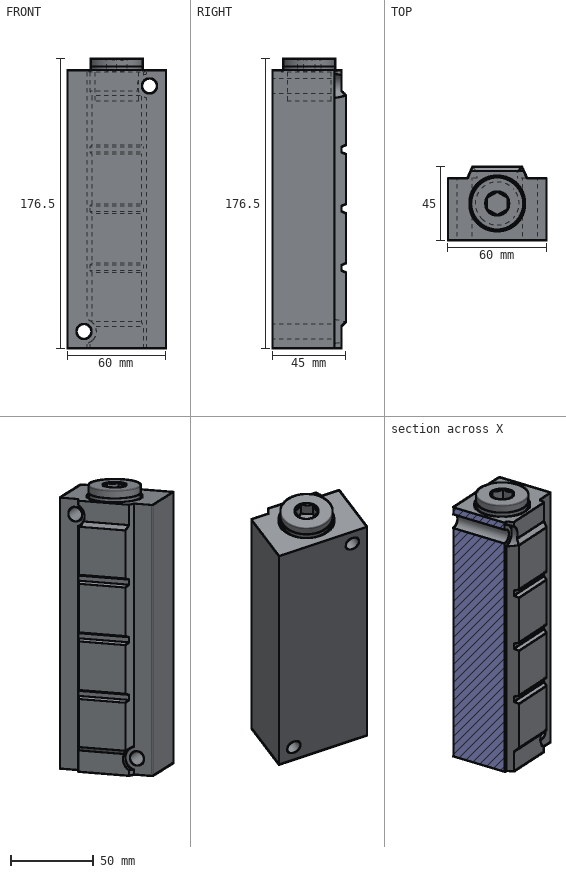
import cadquery as cq

TOTAL_HEIGHT = 176.5
BLOCK_WIDTH = 60.0
BLOCK_HEIGHT = 169.5
TOTAL_DEPTH = 45.0
RIDGE_HEIGHT = 7.0
FRONT_Y = -TOTAL_DEPTH / 2
RIDGE_TOP_Y = TOTAL_DEPTH / 2
BACK_Y = RIDGE_TOP_Y - RIDGE_HEIGHT
BACK_EDGE_RADIUS = 0.5

PATTERN_MIDDLE_Z = 85.1

RIDGE_BASE_WIDTH = 36.4
RIDGE_TOP_WIDTH = 30.0
RIDGE_CUT_DEPTH = 2.8
RIDGE_FLOOR_Y = RIDGE_TOP_Y - RIDGE_CUT_DEPTH
STEP_SPACING_Z = 143.4
NOTCH_COUNT = 3
NOTCH_PITCH = 36.0
NOTCH_OUTER_WIDTH = 5.6
NOTCH_FLOOR_WIDTH = 3.2

HOLE_DIAMETER = 9.0
COUNTERBORE_DIAMETER = 15.0
HOLE_X = 20.0
HOLE_SPACING_Z = 149.5

SPOTFACE_DIAMETER = 34.0
SPOTFACE_DEPTH = 1.0
SHANK_DIAMETER = 26.5
SHANK_LENGTH = 17.7
HEAD_DIAMETER = 32.0
COLLAR_DIAMETER = 31.8
COLLAR_TOP_Z = 171.6
HEAD_EDGE_RADIUS = 0.4
HEX_SIDES = 6
HEX_ACROSS_FLATS = 12.5
HEX_DEPTH = 8.0
SOCKET_MOUTH_DIAMETER = 14.7

SPOTFACE_Z = BLOCK_HEIGHT - SPOTFACE_DEPTH
SHANK_END_Z = SPOTFACE_Z - SHANK_LENGTH


def make_block():
    """Block with the tapered ridge, extruded along Z, its outer back edges rounded."""
    block = (
        cq.Workplane("XY")
        .moveTo(-BLOCK_WIDTH / 2, FRONT_Y)
        .lineTo(BLOCK_WIDTH / 2, FRONT_Y)
        .lineTo(BLOCK_WIDTH / 2, BACK_Y)
        .lineTo(RIDGE_BASE_WIDTH / 2, BACK_Y)
        .lineTo(RIDGE_TOP_WIDTH / 2, RIDGE_TOP_Y)
        .lineTo(-RIDGE_TOP_WIDTH / 2, RIDGE_TOP_Y)
        .lineTo(-RIDGE_BASE_WIDTH / 2, BACK_Y)
        .lineTo(-BLOCK_WIDTH / 2, BACK_Y)
        .close()
        .extrude(BLOCK_HEIGHT)
    )
    for side in (-1, 1):
        back_edge_middle = (side * BLOCK_WIDTH / 2, BACK_Y, BLOCK_HEIGHT / 2)
        block = block.edges(cq.NearestToPointSelector(back_edge_middle)).fillet(BACK_EDGE_RADIUS)
    return block


def ridge_cutter(floor_low, floor_high, low_run, high_run):
    """Trough across the ridge with a flat floor; each wall leans out by its own run along Z."""
    return (
        cq.Workplane("YZ")
        .polyline([
            (RIDGE_FLOOR_Y, floor_low),
            (RIDGE_FLOOR_Y, floor_high),
            (RIDGE_TOP_Y, floor_high + high_run),
            (RIDGE_TOP_Y, floor_low - low_run),
        ])
        .close()
        .extrude(BLOCK_WIDTH / 2, both=True)
    )


def cylinder_along_y(x, z, diameter, start_y, end_y):
    plane = cq.Plane(origin=(x, start_y, z), xDir=(1, 0, 0), normal=(0, 1, 0))
    return cq.Workplane(plane).circle(diameter / 2).extrude(end_y - start_y)


def cylinder_along_z(diameter, start_z, end_z):
    return cq.Workplane("XY", origin=(0, 0, start_z)).circle(diameter / 2).extrude(end_z - start_z)


def make_housing():
    body = make_block()

    low_step_end = PATTERN_MIDDLE_Z - STEP_SPACING_Z / 2
    high_step_start = PATTERN_MIDDLE_Z + STEP_SPACING_Z / 2
    body = body.cut(ridge_cutter(0, low_step_end, 0, RIDGE_CUT_DEPTH))
    body = body.cut(ridge_cutter(high_step_start, BLOCK_HEIGHT, RIDGE_CUT_DEPTH, 0))

    wall_run = (NOTCH_OUTER_WIDTH - NOTCH_FLOOR_WIDTH) / 2
    for index in range(NOTCH_COUNT):
        middle = PATTERN_MIDDLE_Z + (index - (NOTCH_COUNT - 1) / 2) * NOTCH_PITCH
        floor_low = middle - NOTCH_FLOOR_WIDTH / 2
        floor_high = middle + NOTCH_FLOOR_WIDTH / 2
        body = body.cut(ridge_cutter(floor_low, floor_high, wall_run, wall_run))

    for side in (-1, 1):
        x = side * HOLE_X
        z = PATTERN_MIDDLE_Z + side * HOLE_SPACING_Z / 2
        body = body.cut(cylinder_along_y(x, z, HOLE_DIAMETER, FRONT_Y, RIDGE_TOP_Y))
        body = body.cut(cylinder_along_y(x, z, COUNTERBORE_DIAMETER, BACK_Y, RIDGE_TOP_Y))

    body = body.cut(cylinder_along_z(SPOTFACE_DIAMETER, SPOTFACE_Z, BLOCK_HEIGHT))
    return body.cut(cylinder_along_z(SHANK_DIAMETER, SHANK_END_Z, SPOTFACE_Z))


def make_plug():
    head = cylinder_along_z(HEAD_DIAMETER, COLLAR_TOP_Z, TOTAL_HEIGHT)
    head = head.faces(">Z").edges().fillet(HEAD_EDGE_RADIUS)
    collar = cylinder_along_z(COLLAR_DIAMETER, SPOTFACE_Z, COLLAR_TOP_Z)
    shank = cylinder_along_z(SHANK_DIAMETER, SHANK_END_Z, SPOTFACE_Z)
    plug = shank.union(collar).union(head)

    hexagon = (
        cq.Workplane("XY", origin=(0, 0, TOTAL_HEIGHT))
        .polygon(HEX_SIDES, HEX_ACROSS_FLATS, circumscribed=True)
        .extrude(-HEX_DEPTH)
    )
    mouth_radius = SOCKET_MOUTH_DIAMETER / 2
    mouth = cq.Workplane(
        cq.Solid.makeCone(0, mouth_radius, mouth_radius, pnt=cq.Vector(0, 0, TOTAL_HEIGHT - mouth_radius))
    )
    return plug.cut(hexagon).cut(mouth)


housing = make_housing()
plug = make_plug()

result = cq.Compound.makeCompound([housing.val(), plug.val()])